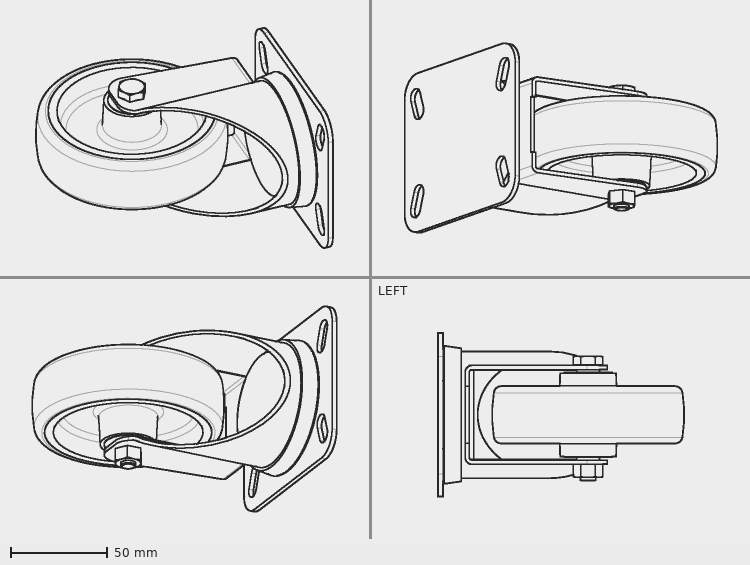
import cadquery as cq
import math


PLATE_LENGTH = 99.8
PLATE_WIDTH = 85.0
PLATE_THICKNESS = 2.7
PLATE_CORNER_RADIUS = 12.0
PLATE_TOP = 78.0
PLATE_BOTTOM = PLATE_TOP - PLATE_THICKNESS
SWIVEL_X = 35.1
SLOT_WIDTH = 8.6
SLOT_PITCH = 8.6
SLOT_ANGLE = 70.0
SLOT_X = 38.6
SLOT_Z = 26.0

NECK_DIAMETER = 70.7
NECK_HEIGHT = 0.7
RING_TOP_DIAMETER = 71.8
RING_BOTTOM_DIAMETER = 69.2
RING_TOP = PLATE_BOTTOM - NECK_HEIGHT
RING_BOTTOM = PLATE_TOP - 12.1
PIVOT_DIAMETER = 54.0
PIVOT_BOTTOM = PLATE_TOP - 18.5

BARREL_DIAMETER = 66.0
BARREL_BORE_DIAMETER = 62.0
BARREL_REAR_BOTTOM = PLATE_TOP - 18.3
BARREL_TOP_THICKNESS = 2.0

LEG_OUTER_Z = 25.6
LEG_INNER_Z = 23.5
WEB_THICKNESS = LEG_OUTER_Z - LEG_INNER_Z
WEB_TOP = PLATE_TOP - 14.2
WEB_BOTTOM = WEB_TOP - WEB_THICKNESS
BEND_INNER_RADIUS = 1.3
BEND_OUTER_RADIUS = BEND_INNER_RADIUS + WEB_THICKNESS
LEG_FRONT_TOP_X = -10.0
LEG_FRONT_BOTTOM_X = -16.2
LEG_BOTTOM = -10.0
LEG_CORNER_RADIUS = 10.0
WEB_NOTCH_WIDTH = 29.7
WEB_NOTCH_DEPTH = 1.1

LEG_REAR_X = SWIVEL_X - math.sqrt((BARREL_DIAMETER / 2) ** 2 - LEG_OUTER_Z**2)
LEG_REAR_BOTTOM = PLATE_TOP - 82.4
BARREL_REAR_X = SWIVEL_X + BARREL_DIAMETER / 2
SLOPE_RUN = (BARREL_REAR_X - LEG_REAR_X) / (BARREL_REAR_BOTTOM - LEG_REAR_BOTTOM)

RIM_DIAMETER = 86.7
RIM_HALF_WIDTH = 15.0
RIM_INNER_RADIUS = 38.8
RIM_ROOT_RADIUS = 36.8
DISC_HALF_THICKNESS = 3.2
HUB_ROOT_RADIUS = 15.5
HUB_END_RADIUS = 14.6
HUB_HALF_LENGTH = 21.7
DISC_FILLET = 3.0
SELECTION_MARGIN = 0.1
HUB_BOSS_DIAMETER = 25.0
HUB_BOSS_HEIGHT = 0.3

TYRE_BORE_DIAMETER = 87.0
TYRE_RADIUS = 49.9
TYRE_EDGE_RADIUS = 48.4
TYRE_EDGE_FILLET = 4.0

BOLT_DIAMETER = 8.0
BOLT_TIP_DIAMETER = 6.6
BOLT_TIP_LENGTH = 0.4
BOLT_END_Z = -34.3
SPACER_DIAMETER = 12.0
HEX_FLATS = 13.2
HEX_CORNERS = HEX_FLATS / math.cos(math.pi / 6)
HEX_TURN_ANGLE = 30.0
HEX_CHAMFER_ANGLE = 20.0
WASHER_FACE_DIAMETER = 11.5
WASHER_FACE_HEIGHT = 0.3
HEAD_HEIGHT = 4.6
NUT_HEIGHT = 6.9


def slope_x(y):
    """X of the sloping cut at height y."""
    return LEG_REAR_X + (y - LEG_REAR_BOTTOM) * SLOPE_RUN


def extrude_both(sketch, half_width):
    """Extrude an XY outline to equal depth on both sides of Z = 0."""
    return sketch.extrude(half_width, both=True)


def cylinder_on_swivel(diameter, top, bottom):
    """A cylinder about the swivel axis between two heights."""
    plane = cq.Plane(origin=(SWIVEL_X, bottom, 0), xDir=(1, 0, 0), normal=(0, 1, 0))
    return cq.Workplane(plane).circle(diameter / 2).extrude(top - bottom)


def make_bearing():
    """Neck, ring and pivot boss as one turned shape about the swivel axis."""
    outline = [
        (SWIVEL_X, PLATE_BOTTOM),
        (SWIVEL_X + NECK_DIAMETER / 2, PLATE_BOTTOM),
        (SWIVEL_X + NECK_DIAMETER / 2, RING_TOP),
        (SWIVEL_X + RING_TOP_DIAMETER / 2, RING_TOP),
        (SWIVEL_X + RING_BOTTOM_DIAMETER / 2, RING_BOTTOM),
        (SWIVEL_X + PIVOT_DIAMETER / 2, RING_BOTTOM),
        (SWIVEL_X + PIVOT_DIAMETER / 2, PIVOT_BOTTOM),
        (SWIVEL_X, PIVOT_BOTTOM),
    ]
    bearing = cq.Workplane("XY").polyline(outline).close()
    return bearing.revolve(360, (SWIVEL_X, 0, 0), (SWIVEL_X, 1, 0))


def make_plate():
    """Slotted mounting plate together with its swivel bearing."""
    plane = cq.Plane(origin=(SWIVEL_X, PLATE_BOTTOM, 0), xDir=(1, 0, 0), normal=(0, 1, 0))
    plate = cq.Workplane(plane).rect(PLATE_LENGTH, PLATE_WIDTH).extrude(PLATE_THICKNESS)
    plate = plate.edges("|Y").fillet(PLATE_CORNER_RADIUS)
    for side_x in (-1, 1):
        for side_z in (-1, 1):
            slot = (
                cq.Workplane(plane)
                .center(side_x * SLOT_X, side_z * SLOT_Z)
                .transformed(rotate=(0, 0, side_x * side_z * SLOT_ANGLE))
                .slot2D(SLOT_PITCH + SLOT_WIDTH, SLOT_WIDTH)
                .extrude(PLATE_THICKNESS)
            )
            plate = plate.cut(slot)
    return plate.union(make_bearing())


def make_barrel():
    """Solid barrel with its sloping end; the bore is cut later."""
    barrel = cylinder_on_swivel(BARREL_DIAMETER, RING_BOTTOM, LEG_BOTTOM)
    kept_outline = [
        (SWIVEL_X - BARREL_DIAMETER / 2, RING_BOTTOM),
        (BARREL_REAR_X, RING_BOTTOM),
        (BARREL_REAR_X, BARREL_REAR_BOTTOM),
        (LEG_REAR_X, LEG_REAR_BOTTOM),
        (LEG_REAR_X, WEB_BOTTOM),
        (SWIVEL_X - BARREL_DIAMETER / 2, WEB_BOTTOM),
    ]
    kept = extrude_both(cq.Workplane("XY").polyline(kept_outline).close(), BARREL_DIAMETER / 2)
    return barrel.intersect(kept)


def make_legs():
    """U-shaped sheet: two legs and the web above the wheel."""
    outline = [
        (LEG_FRONT_TOP_X, WEB_TOP),
        (LEG_REAR_X, WEB_TOP),
        (LEG_REAR_X, LEG_REAR_BOTTOM),
        (slope_x(LEG_BOTTOM), LEG_BOTTOM),
        (LEG_FRONT_BOTTOM_X, LEG_BOTTOM),
    ]
    legs = extrude_both(cq.Workplane("XY").polyline(outline).close(), LEG_OUTER_Z)
    legs = legs.faces("<Y").edges("|Z").fillet(LEG_CORNER_RADIUS)
    legs = legs.faces(">Y").edges("|X").fillet(BEND_OUTER_RADIUS)

    inside_length = LEG_REAR_X - LEG_FRONT_BOTTOM_X
    inside_height = WEB_BOTTOM - LEG_BOTTOM
    inside = (
        cq.Workplane("XY")
        .box(inside_length, inside_height, 2 * LEG_INNER_Z, centered=(False, False, True))
        .translate((LEG_FRONT_BOTTOM_X, LEG_BOTTOM, 0))
        .faces(">Y")
        .edges("|X")
        .fillet(BEND_INNER_RADIUS)
    )
    notch = (
        cq.Workplane("XY")
        .box(2 * WEB_NOTCH_DEPTH, 2 * BEND_OUTER_RADIUS, WEB_NOTCH_WIDTH)
        .translate((LEG_FRONT_TOP_X, WEB_TOP, 0))
    )
    return legs.cut(inside).cut(notch)


def make_fork():
    """Sheet fork: barrel with a flat top ring around the pivot, web and two legs."""
    bore_top = RING_BOTTOM - BARREL_TOP_THICKNESS
    fork = make_barrel().union(make_legs())
    fork = fork.cut(cylinder_on_swivel(BARREL_BORE_DIAMETER, bore_top, LEG_BOTTOM))
    fork = fork.cut(cylinder_on_swivel(PIVOT_DIAMETER, RING_BOTTOM, bore_top))
    axle_hole = extrude_both(cq.Workplane("XY").circle(BOLT_DIAMETER / 2), LEG_OUTER_Z)
    return fork.cut(axle_hole)


def make_wheel_core():
    """Rim, disc and hub: half a section revolved about the axle, then mirrored."""
    half_outline = [
        (SPACER_DIAMETER / 2, 0),
        (RIM_DIAMETER / 2, 0),
        (RIM_DIAMETER / 2, RIM_HALF_WIDTH),
        (RIM_INNER_RADIUS, RIM_HALF_WIDTH),
        (RIM_ROOT_RADIUS, DISC_HALF_THICKNESS),
        (HUB_ROOT_RADIUS, DISC_HALF_THICKNESS),
        (HUB_END_RADIUS, HUB_HALF_LENGTH),
        (HUB_BOSS_DIAMETER / 2, HUB_HALF_LENGTH),
        (HUB_BOSS_DIAMETER / 2, HUB_HALF_LENGTH + HUB_BOSS_HEIGHT),
        (SPACER_DIAMETER / 2, HUB_HALF_LENGTH + HUB_BOSS_HEIGHT),
    ]
    half = cq.Workplane("XZ").polyline(half_outline).close().revolve(360, (0, 0, 0), (0, 1, 0))
    disc_edges = cq.selectors.BoxSelector(
        (-RIM_INNER_RADIUS, -RIM_INNER_RADIUS, DISC_HALF_THICKNESS - SELECTION_MARGIN),
        (RIM_INNER_RADIUS, RIM_INNER_RADIUS, DISC_HALF_THICKNESS + SELECTION_MARGIN),
    )
    half = half.edges(disc_edges).fillet(DISC_FILLET)
    return half.union(half.mirror("XY"))


def make_tyre():
    """Ring with a crowned tread and rounded shoulders."""
    bore_radius = TYRE_BORE_DIAMETER / 2
    tyre = (
        cq.Workplane("XZ")
        .moveTo(bore_radius, -RIM_HALF_WIDTH)
        .lineTo(TYRE_EDGE_RADIUS, -RIM_HALF_WIDTH)
        .threePointArc((TYRE_RADIUS, 0), (TYRE_EDGE_RADIUS, RIM_HALF_WIDTH))
        .lineTo(bore_radius, RIM_HALF_WIDTH)
        .close()
        .revolve(360, (0, 0, 0), (0, 1, 0))
    )
    shoulders = cq.selectors.RadiusNthSelector(-1)
    return tyre.faces("|Z").edges(shoulders).fillet(TYRE_EDGE_FILLET)


def make_hex(height):
    """Hexagon standing on Z = 0, corners along Y, its top corners chamfered to the flats."""
    prism = cq.Workplane("XY").polygon(6, HEX_CORNERS).extrude(height)
    prism = prism.rotate((0, 0, 0), (0, 0, 1), HEX_TURN_ANGLE)
    corner_radius = HEX_CORNERS / 2
    flat_radius = HEX_FLATS / 2
    drop = (corner_radius - flat_radius) * math.tan(math.radians(HEX_CHAMFER_ANGLE))
    turned_outline = [
        (0, 0),
        (corner_radius, 0),
        (corner_radius, height - drop),
        (flat_radius, height),
        (0, height),
    ]
    turned = cq.Workplane("XZ").polyline(turned_outline).close().revolve(360, (0, 0, 0), (0, 1, 0))
    return prism.intersect(turned)


def make_axle():
    """Bolt with its head on top, nut below and spacer between the legs."""
    tip_inset = (BOLT_DIAMETER - BOLT_TIP_DIAMETER) / 2
    shank = (
        cq.Workplane("XY", origin=(0, 0, BOLT_END_Z))
        .circle(BOLT_DIAMETER / 2)
        .extrude(LEG_OUTER_Z - BOLT_END_Z)
        .faces("<Z")
        .chamfer(BOLT_TIP_LENGTH, tip_inset)
    )
    spacer = extrude_both(cq.Workplane("XY").circle(SPACER_DIAMETER / 2), LEG_INNER_Z)
    washer_face = (
        cq.Workplane("XY", origin=(0, 0, LEG_OUTER_Z))
        .circle(WASHER_FACE_DIAMETER / 2)
        .extrude(WASHER_FACE_HEIGHT)
    )
    head = make_hex(HEAD_HEIGHT).translate((0, 0, LEG_OUTER_Z + WASHER_FACE_HEIGHT))
    nut = make_hex(NUT_HEIGHT).mirror("XY").translate((0, 0, -LEG_OUTER_Z))
    return shank.union(spacer).union(washer_face).union(head).union(nut)


plate = make_plate()
fork = make_fork()
wheel_core = make_wheel_core()
tyre = make_tyre()
axle = make_axle()

bodies = [plate, fork, wheel_core, tyre, axle]
result = cq.Compound.makeCompound([body.solids().val() for body in bodies])